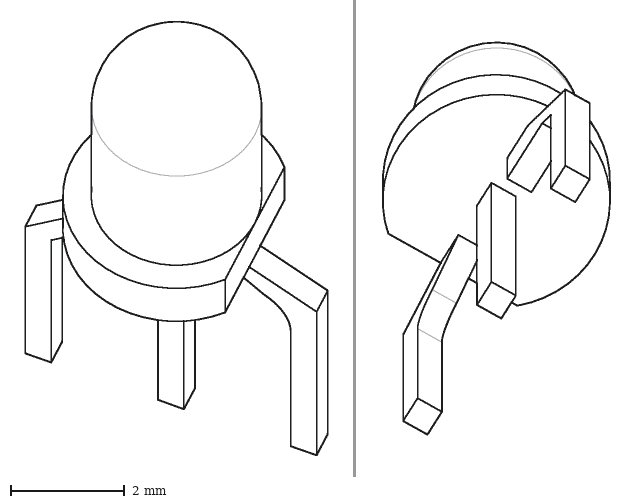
import cadquery as cq


total_height = 10.2
lens_radius = 1.5
flange_radius = 2.0
flange_height = 1.0
lead_length = 5.0
lead_size = 0.5
lead_pitch = 2.54
tip_rise = 0.01

flange_top = lead_length + flange_height
dome_base = total_height - lens_radius
lead_outer = lead_pitch + lead_size / 2
lead_inner = lead_pitch - lead_size / 2

plate_edge = 0.79
plate_bottom = 3.98
left_shoulder = 3.85
left_bevel_width = 0.3
left_bevel_height = 0.27

right_shoulder = 4.36
arm_root = 0.89
bend_start = (1.78, 4.31)
bend_middle = (2.14, 4.0)
bend_end_height = 3.52


def make_lens():
    """Cylinder with a hemispherical top, revolved about the Z axis."""
    return (
        cq.Workplane("XZ")
        .moveTo(0, lead_length)
        .lineTo(lens_radius, lead_length)
        .lineTo(lens_radius, dome_base)
        .radiusArc((0, total_height), -lens_radius)
        .close()
        .revolve(360, (0, 0, 0), (0, 1, 0))
    )


def make_flange():
    """Round base with a flat on +X, tangent to the lens."""
    disc = cq.Workplane("XY").workplane(offset=lead_length).circle(flange_radius).extrude(flange_height)
    keep_length = flange_radius + lens_radius
    keep = cq.Workplane("XY").box(
        keep_length, 2 * flange_radius, flange_top, centered=(False, True, False)
    ).translate((-flange_radius, 0, 0))
    return disc.intersect(keep)


def extrude_lead(outline):
    """Close a lead outline in the XZ plane and thicken it evenly about Y = 0."""
    return outline.close().extrude(lead_size / 2, both=True)


def make_left_lead():
    """Lead with a sloped outer shoulder and a bevelled inner corner below the plate."""
    return extrude_lead(
        cq.Workplane("XZ")
        .moveTo(-lead_outer, tip_rise)
        .lineTo(-lead_outer, left_shoulder)
        .lineTo(-lens_radius, lead_length)
        .lineTo(-plate_edge, lead_length)
        .lineTo(-plate_edge, plate_bottom)
        .lineTo(-lead_inner + left_bevel_width, plate_bottom)
        .lineTo(-lead_inner, plate_bottom - left_bevel_height)
        .lineTo(-lead_inner, tip_rise)
    )


def make_middle_lead():
    """Straight lead whose tip slopes slightly, lowest on its +X side."""
    half_size = lead_size / 2
    return extrude_lead(
        cq.Workplane("XZ")
        .moveTo(half_size, 0)
        .lineTo(half_size, lead_length)
        .lineTo(-half_size, lead_length)
        .lineTo(-half_size, tip_rise)
    )


def make_right_lead():
    """Lead with a tapering arm that curves into its straight shank."""
    return extrude_lead(
        cq.Workplane("XZ")
        .moveTo(lead_outer, tip_rise)
        .lineTo(lead_outer, right_shoulder)
        .lineTo(lens_radius, lead_length)
        .lineTo(arm_root, lead_length)
        .lineTo(*bend_start)
        .threePointArc(bend_middle, (lead_inner, bend_end_height))
        .lineTo(lead_inner, tip_rise)
    )


result = make_flange().union(make_lens())
for lead in (make_left_lead(), make_middle_lead(), make_right_lead()):
    result = result.union(lead)